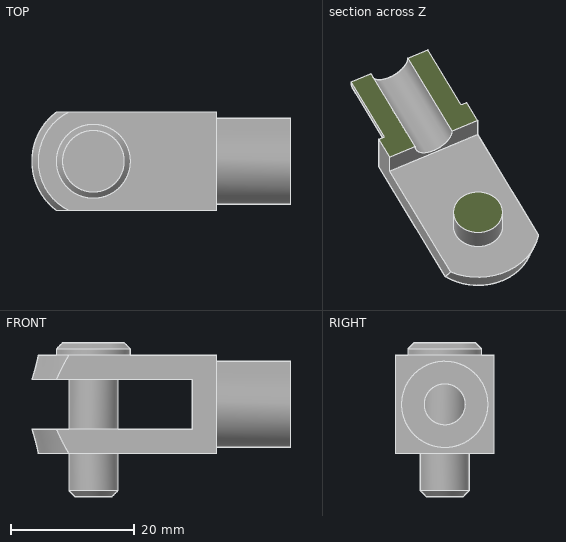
import cadquery as cq
import math

fork_width = 16.0
fork_back_x = 20.0
slot_width = 8.0
slot_end_x = 16.0
tip_radius = 10.0
tip_taper_angle = 15.0
arm_thickness = (fork_width - slot_width) / 2
tip_outer_radius = tip_radius - arm_thickness * math.tan(math.radians(tip_taper_angle))

neck_diameter = 14.0
neck_length = 12.0
neck_end_x = fork_back_x + neck_length
bore_diameter = 6.65

pin_diameter = 8.0
pin_bottom_z = -15.0
head_diameter = 12.0
head_height = 2.0
pin_chamfer = 1.0
head_bottom_z = fork_width / 2
head_top_z = head_bottom_z + head_height


def box_from_x(start_x, end_x, width, height):
    """Box between two X positions, centred on the X axis."""
    return (
        cq.Workplane("XY")
        .box(end_x - start_x, width, height)
        .translate(((start_x + end_x) / 2, 0, 0))
    )


def cylinder_along_x(start_x, end_x, diameter):
    return (
        cq.Workplane("YZ", origin=(start_x, 0, 0))
        .circle(diameter / 2)
        .extrude(end_x - start_x)
    )


def cylinder_along_z(bottom_z, top_z, diameter):
    return (
        cq.Workplane("XY", origin=(0, 0, bottom_z))
        .circle(diameter / 2)
        .extrude(top_z - bottom_z)
    )


def make_tip_envelope():
    """Body of revolution about the pin axis, tapering outwards across each arm."""
    slot_z = slot_width / 2
    outer_z = fork_width / 2
    return (
        cq.Workplane("XZ")
        .moveTo(0, -outer_z)
        .lineTo(tip_outer_radius, -outer_z)
        .lineTo(tip_radius, -slot_z)
        .lineTo(tip_radius, slot_z)
        .lineTo(tip_outer_radius, outer_z)
        .lineTo(0, outer_z)
        .close()
        .revolve(360, (0, 0, 0), (0, 1, 0))
    )


def make_fork():
    tip_block = box_from_x(-tip_radius, 0, fork_width, fork_width)
    rounded_tip = tip_block.intersect(make_tip_envelope())
    square_body = box_from_x(0, fork_back_x, fork_width, fork_width)
    slot = box_from_x(-tip_radius, slot_end_x, fork_width, slot_width)
    neck = cylinder_along_x(fork_back_x, neck_end_x, neck_diameter)
    bore = cylinder_along_x(slot_end_x, neck_end_x, bore_diameter)
    return square_body.union(rounded_tip).union(neck).cut(slot).cut(bore)


def make_pin():
    shank = cylinder_along_z(pin_bottom_z, head_bottom_z, pin_diameter)
    shank = shank.faces("<Z").chamfer(pin_chamfer)
    head = cylinder_along_z(head_bottom_z, head_top_z, head_diameter)
    head = head.faces(">Z").chamfer(pin_chamfer)
    return shank.union(head)


result = make_fork().union(make_pin())